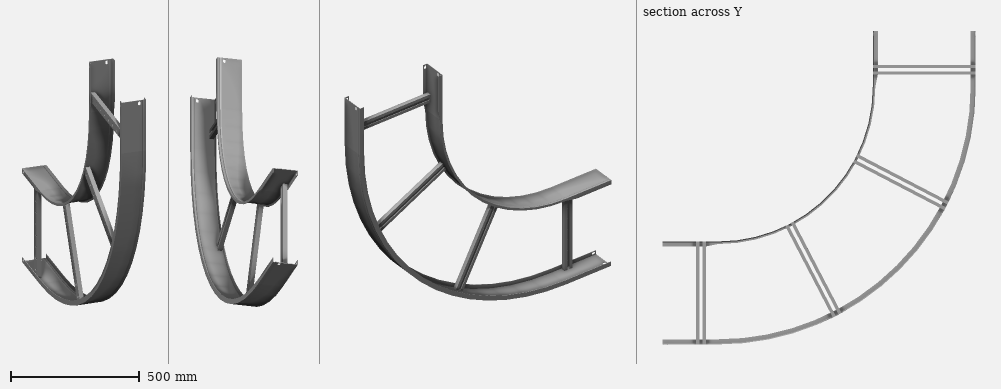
import cadquery as cq
import math

INNER_RADIUS = 600.0
TRAY_WIDTH = 400.0
OUTER_RADIUS = INNER_RADIUS + TRAY_WIDTH
ARM_LENGTH = 217.0
INNER_ARM_OVERHANG = 0.6
QUARTER_TURN = 90.0

RAIL_HEIGHT = 100.0
HALF_HEIGHT = RAIL_HEIGHT / 2
FLANGE_WIDTH = 20.0
RAIL_SHEET = 2.0
BEAD_CENTRE_Y = 38.0
BEAD_WIDTH = 8.0
BEAD_DEPTH = 2.0

BEND_FLANGE_WIDTH = 10.0
FLANGE_TAPER_LENGTH = 50.0

SLOT_LENGTH = 16.0
SLOT_WIDTH = 10.0
SLOT_FROM_END = 13.0
WEB_SLOT_Y = 22.0

RUNG_WIDTH = 38.0
RUNG_BASE_Y = -44.0
RUNG_DEPTH = 17.5
RUNG_SHEET = 2.0
RUNG_MOUTH = 12.0
END_RUNG_FROM_ARM_END = 150.0
MIDDLE_RUNG_ANGLE = 27.5

RUNG_SLOT_COUNT = 8
RUNG_SLOT_PITCH = 49.0
RUNG_SLOT_START = 25.0
RUNG_SLOT_LENGTH = 17.0
RUNG_SLOT_WIDTH = 7.0


def turn(shape, angle):
    """Turn a shape about the bend axis, from the +Z arm toward the -X arm."""
    return shape.rotate((0, 0, 0), (0, 1, 0), angle)


def section(points):
    """Closed outline in the XY plane."""
    return cq.Workplane("XY").polyline(points).close()


def along_bend(points, left_arm_length):
    """Run a section in the XY plane up the +Z arm, round the bend and out along the -X arm."""
    top_arm = section(points).extrude(ARM_LENGTH)
    left_arm = turn(section(points).extrude(-left_arm_length), QUARTER_TURN)
    bend = section(points).revolve(QUARTER_TURN, (0, 0, 0), (0, 1, 0))
    return top_arm.union(bend).union(left_arm)


def rail_section(web_radius, flange_side):
    """Section with its web face at web_radius; flange_side is +1 or -1 along X."""
    bead_start = BEAD_CENTRE_Y - BEAD_WIDTH / 2
    bead_end = BEAD_CENTRE_Y + BEAD_WIDTH / 2
    flange_inside = HALF_HEIGHT - RAIL_SHEET
    outline = [
        (0, -HALF_HEIGHT),
        (0, bead_start),
        (BEAD_DEPTH, BEAD_CENTRE_Y),
        (0, bead_end),
        (0, HALF_HEIGHT),
        (FLANGE_WIDTH, HALF_HEIGHT),
        (FLANGE_WIDTH, flange_inside),
        (RAIL_SHEET, flange_inside),
        (RAIL_SHEET, bead_end),
        (RAIL_SHEET + BEAD_DEPTH, BEAD_CENTRE_Y),
        (RAIL_SHEET, bead_start),
        (RAIL_SHEET, -flange_inside),
        (FLANGE_WIDTH, -flange_inside),
        (FLANGE_WIDTH, -HALF_HEIGHT),
    ]
    return [(web_radius + flange_side * depth, y) for depth, y in outline]


def flange_slot(web_radius, flange_side):
    """Cutter for a slot through the -Y flange, centred at Z = 0."""
    flange_centre = web_radius + flange_side * (RAIL_SHEET + FLANGE_WIDTH) / 2
    return (
        cq.Workplane("XZ", origin=(flange_centre, -HALF_HEIGHT, 0))
        .slot2D(SLOT_LENGTH, SLOT_WIDTH, QUARTER_TURN)
        .extrude(RAIL_SHEET, both=True)
    )


def web_slot(web_radius):
    """Cutter for a slot through the web, centred at Z = 0."""
    return (
        cq.Workplane("YZ", origin=(web_radius, WEB_SLOT_Y, 0))
        .slot2D(SLOT_LENGTH, SLOT_WIDTH, QUARTER_TURN)
        .extrude(RAIL_SHEET, both=True)
    )


def at_top_end(cutter):
    return cutter.translate((0, 0, ARM_LENGTH - SLOT_FROM_END))


def at_left_end(cutter, arm_length):
    return turn(cutter.translate((0, 0, SLOT_FROM_END - arm_length)), QUARTER_TURN)


def flange_trim():
    """Cutter that narrows the inner rail's flanges round the bend."""
    full_tip = INNER_RADIUS + FLANGE_WIDTH
    bend_tip = INNER_RADIUS + BEND_FLANGE_WIDTH
    clear = full_tip + FLANGE_WIDTH
    diagonal = math.sqrt(0.5)
    return (
        cq.Workplane("XZ", origin=(0, HALF_HEIGHT, 0))
        .moveTo(full_tip, FLANGE_TAPER_LENGTH)
        .lineTo(bend_tip, 0)
        .threePointArc((bend_tip * diagonal, -bend_tip * diagonal), (0, -bend_tip))
        .lineTo(-FLANGE_TAPER_LENGTH, -full_tip)
        .lineTo(0, -clear)
        .threePointArc((clear * diagonal, -clear * diagonal), (clear, 0))
        .close()
        .extrude(RAIL_HEIGHT)
    )


def make_inner_rail():
    left_arm_length = ARM_LENGTH + INNER_ARM_OVERHANG
    slot = flange_slot(INNER_RADIUS, 1)
    return (
        along_bend(rail_section(INNER_RADIUS, 1), left_arm_length)
        .cut(flange_trim())
        .cut(at_top_end(slot))
        .cut(at_left_end(slot, left_arm_length))
        .cut(at_top_end(web_slot(INNER_RADIUS + RAIL_SHEET / 2)))
    )


def make_outer_rail():
    slot = flange_slot(OUTER_RADIUS, -1)
    side_slot = web_slot(OUTER_RADIUS - RAIL_SHEET / 2)
    return (
        along_bend(rail_section(OUTER_RADIUS, -1), ARM_LENGTH)
        .cut(at_top_end(slot))
        .cut(at_left_end(slot, ARM_LENGTH))
        .cut(at_top_end(side_slot))
        .cut(at_left_end(side_slot, ARM_LENGTH))
    )


def make_rung_blank():
    """Straight rung along +X at Z = 0, a little longer than the tray is wide."""
    half_width = RUNG_WIDTH / 2
    half_mouth = RUNG_MOUTH / 2
    top_y = RUNG_BASE_Y + RUNG_DEPTH
    end_allowance = RAIL_SHEET
    half_outline = [
        (RUNG_BASE_Y, half_width),
        (top_y, half_width),
        (top_y, half_mouth),
        (top_y - RUNG_SHEET, half_mouth),
        (top_y - RUNG_SHEET, half_width - RUNG_SHEET),
        (RUNG_BASE_Y + RUNG_SHEET, half_width - RUNG_SHEET),
    ]
    other_half = [(y, -z) for y, z in reversed(half_outline)]
    channel = (
        cq.Workplane("YZ", origin=(INNER_RADIUS - end_allowance, 0, 0))
        .polyline(half_outline + other_half)
        .close()
        .extrude(TRAY_WIDTH + 2 * end_allowance)
    )
    slots = (
        cq.Workplane("XZ", origin=(INNER_RADIUS + RUNG_SLOT_START, RUNG_BASE_Y, 0))
        .pushPoints([(i * RUNG_SLOT_PITCH, 0) for i in range(RUNG_SLOT_COUNT)])
        .slot2D(RUNG_SLOT_LENGTH, RUNG_SLOT_WIDTH, QUARTER_TURN)
        .extrude(RUNG_SHEET, both=True)
    )
    return channel.cut(slots)


def tray_envelope():
    """Solid block filling the tray between the outward faces of the two webs."""
    band = [
        (INNER_RADIUS, -HALF_HEIGHT),
        (OUTER_RADIUS, -HALF_HEIGHT),
        (OUTER_RADIUS, HALF_HEIGHT),
        (INNER_RADIUS, HALF_HEIGHT),
    ]
    return along_bend(band, ARM_LENGTH)


def make_rungs():
    """One rung on each arm and two in the bend, all ending flush with the webs."""
    blank = make_rung_blank()
    envelope = tray_envelope()
    into_arm = ARM_LENGTH - END_RUNG_FROM_ARM_END
    placed = [
        blank.translate((0, 0, into_arm)),
        turn(blank, MIDDLE_RUNG_ANGLE),
        turn(blank, QUARTER_TURN - MIDDLE_RUNG_ANGLE),
        turn(blank.translate((0, 0, -into_arm)), QUARTER_TURN),
    ]
    return [rung.intersect(envelope) for rung in placed]


inner_rail = make_inner_rail()
outer_rail = make_outer_rail()
rungs = make_rungs()

for rung in rungs:
    inner_rail = inner_rail.cut(rung)
    outer_rail = outer_rail.cut(rung)

result = cq.Compound.makeCompound([inner_rail.val(), outer_rail.val(), *[rung.val() for rung in rungs]])